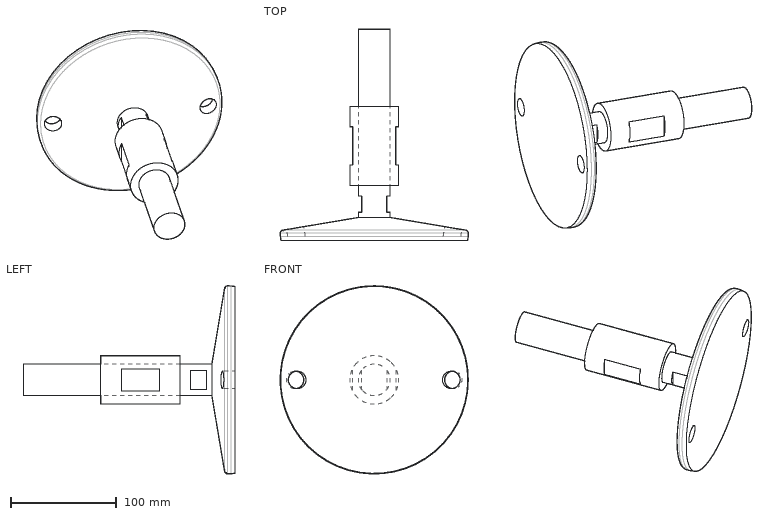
import cadquery as cq
import math

total_length = 200.0

base_diameter = 178.0
base_radius = base_diameter / 2
edge_taper = 0.5
underside_radius = base_radius - edge_taper
taper_height = 4.0
cone_rim_height = 9.5
cone_top_height = 22.0
rim_fillet_radius = 3.0
rim_tolerance = 0.2

spindle_diameter = 30.0
spindle_radius = spindle_diameter / 2
sleeve_diameter = 46.0
neck_length = 30.0
sleeve_start = cone_top_height + neck_length
sleeve_length = 75.0

neck_flat_width = 24.0
neck_flat_length = 15.0
neck_flat_offset = 5.0
neck_flat_start = cone_top_height + neck_flat_offset
sleeve_flat_width = 41.0
sleeve_flat_length = 36.0
sleeve_flat_start = sleeve_start + (sleeve_length - sleeve_flat_length) / 2

hole_diameter = 16.5
hole_offset = 72.8
hole_overrun = 20.0
cone_slope = math.atan2(cone_top_height - cone_rim_height, base_radius - spindle_radius)


def cylinder(diameter, start, length):
    """Solid cylinder on the Y axis, from start to start + length."""
    return cq.Workplane(cq.Solid.makeCylinder(
        diameter / 2, length, cq.Vector(0, start, 0), cq.Vector(0, 1, 0)))


def wrench_flat_cutter(diameter, width, start, length):
    """Material to remove outside two flats that are a given width apart."""
    keep = cq.Workplane("XY").box(width, length, diameter).translate((0, start + length / 2, 0))
    return cylinder(diameter, start, length).cut(keep)


def anchor_hole(side):
    """Slanted hole cutter on the side given by -1 or +1, centred at hole_offset on Y = 0."""
    direction = cq.Vector(side * math.sin(cone_slope), math.cos(cone_slope), 0)
    start = cq.Vector(side * hole_offset, 0, 0) - direction * hole_overrun
    length = cone_top_height + 2 * hole_overrun
    return cq.Workplane(cq.Solid.makeCylinder(hole_diameter / 2, length, start, direction))


def make_base():
    """Conical base disc with a rounded rim, tapered lower edge and two anchor holes."""
    base = (
        cq.Workplane("XY")
        .lineTo(underside_radius, 0)
        .lineTo(base_radius, taper_height)
        .lineTo(base_radius, cone_rim_height)
        .lineTo(spindle_radius, cone_top_height)
        .lineTo(0, cone_top_height)
        .close()
        .revolve(360, (0, 0, 0), (0, 1, 0))
    )
    rim_level = cq.selectors.BoxSelector(
        (-base_diameter, cone_rim_height - rim_tolerance, -base_diameter),
        (base_diameter, cone_rim_height + rim_tolerance, base_diameter))
    base = base.edges("%CIRCLE").edges(rim_level).fillet(rim_fillet_radius)
    for side in (-1, 1):
        base = base.cut(anchor_hole(side))
    return base


def make_foot():
    """Base and spindle in one piece, with wrench flats on the neck."""
    spindle = cylinder(spindle_diameter, cone_top_height, total_length - cone_top_height)
    flats = wrench_flat_cutter(spindle_diameter, neck_flat_width, neck_flat_start, neck_flat_length)
    return make_base().union(spindle.cut(flats))


def make_sleeve():
    """Collar fitted around the spindle, with its own wrench flats."""
    sleeve = cylinder(sleeve_diameter, sleeve_start, sleeve_length)
    bore = cylinder(spindle_diameter, sleeve_start, sleeve_length)
    flats = wrench_flat_cutter(
        sleeve_diameter, sleeve_flat_width, sleeve_flat_start, sleeve_flat_length)
    return sleeve.cut(bore).cut(flats)


foot = make_foot()
sleeve = make_sleeve()

result = cq.Compound.makeCompound([foot.val(), sleeve.val()])